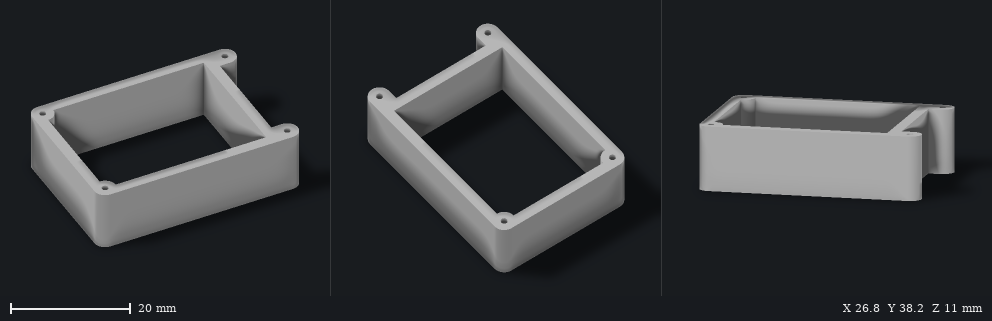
import cadquery as cq

width = 26.8
length = 38.22
height = 11.0

wall = 2.0
boss_radius = wall
hole_diameter = 1.2

screw_x = width / 2 - boss_radius
screw_y = length / 2 - boss_radius
screw_points = [(sx * screw_x, sy * screw_y) for sx in (-1, 1) for sy in (-1, 1)]

back_outer_y = length / 2 - 2 * boss_radius
back_inner_y = back_outer_y - wall
front_inner_y = -length / 2 + wall


def block(x_size, y_min, y_max):
    """Full-height block centred in X between two Y positions."""
    return cq.Workplane("XY").box(
        x_size, y_max - y_min, height, centered=(True, False, False)
    ).translate((0, y_min, 0))


front_corners = "|Z and <Y"
body = block(width, -length / 2, screw_y).edges(front_corners).fillet(boss_radius)

ear_gap = block(width - 4 * boss_radius, back_outer_y, screw_y)

window = block(width - 2 * wall, front_inner_y, back_inner_y)

bosses = cq.Workplane("XY").pushPoints(screw_points).circle(boss_radius).extrude(height)

holes = cq.Workplane("XY").pushPoints(screw_points).circle(hole_diameter / 2).extrude(height)

result = body.cut(ear_gap).cut(window).union(bosses).cut(holes)